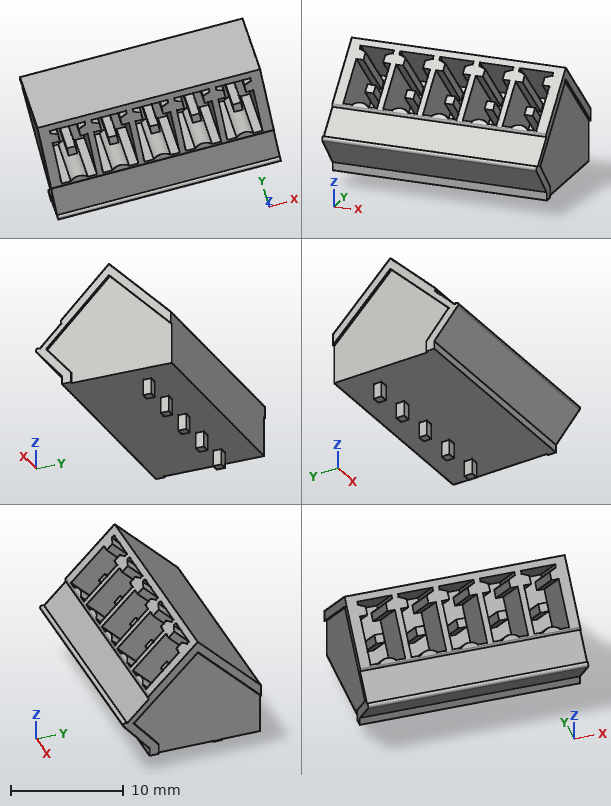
import cadquery as cq
import math


ROOT2 = math.sqrt(2)

LENGTH = 20.45
APEX_HEIGHT = 11.0
APEX_FROM_REAR = 6.0
FACE_LENGTH = 6.56
STEP = 0.22
BEAD_FROM_REAR = 12.88
FOOT_FROM_REAR = 10.59
UNDERCUT_ANGLE = math.radians(49.5)

PANEL_SINK = 0.2
FRAME = 0.8
FOOT_RIM = 0.85

CONTACTS = 5
PITCH = 3.8

POCKET_DEPTH = 6.13
POCKET_TOP = 0.65
HEAD_SIDE = 0.29
NECK_TOP = 1.23
SHOULDER = 1.98
POCKET_BOTTOM = 6.42
HEAD_HALF = 1.6
NECK_HALF = 0.95
POCKET_HALF = 1.61
RIDGE_HALF = 0.78
RIDGE_HEIGHT = 0.33

PIN = 0.8
PIN_TIP_DEPTH = 1.2
PIN_DOWN_FACE = 4.13
PIN_FROM_REAR = 3.3
PIN_TAIL = 1.51

contact_places = [(i - (CONTACTS - 1) / 2) * PITCH for i in range(CONTACTS)]


def face_point(down, depth):
    """(Y, Z) of a point down the mating face from the apex and below its surface."""
    y = -APEX_FROM_REAR + (depth - down) / ROOT2
    z = APEX_HEIGHT - (depth + down) / ROOT2
    return y, z


def around(center, radius, angle):
    """(Y, Z) on a circle; angle 0 points forward and 90 degrees points up."""
    return center[0] - radius * math.cos(angle), center[1] + radius * math.sin(angle)


bead_down = (BEAD_FROM_REAR - APEX_FROM_REAR) * ROOT2 + STEP
bead_center = face_point(bead_down, STEP)
bead_end = around(bead_center, STEP, UNDERCUT_ANGLE - math.pi / 2)
undercut_slope = math.tan(UNDERCUT_ANGLE)
foot_top = bead_end[1] + (FOOT_FROM_REAR + bead_end[0]) * undercut_slope


def extrude_profile(wire, width):
    """Solid of a YZ outline, closed here, centred on X = 0."""
    return wire.close().extrude(width / 2, both=True)


def housing_block():
    """Full-width block with the stepped mating face and the bead along its front edge."""
    edge_center = face_point(FACE_LENGTH, STEP)
    profile = (
        cq.Workplane("YZ")
        .moveTo(0, 0)
        .lineTo(0, APEX_HEIGHT - APEX_FROM_REAR)
        .lineTo(-APEX_FROM_REAR, APEX_HEIGHT)
        .lineTo(*face_point(FACE_LENGTH, 0))
        .threePointArc(around(edge_center, STEP, 0), face_point(FACE_LENGTH + STEP, STEP))
        .lineTo(*face_point(bead_down - STEP, STEP))
        .threePointArc(around(bead_center, STEP, math.pi / 4), bead_end)
        .lineTo(-FOOT_FROM_REAR, foot_top)
        .lineTo(-FOOT_FROM_REAR, 0)
    )
    return extrude_profile(profile, LENGTH)


def panel_core(width):
    """Prism of the end panel outline: the housing outline less its rim."""
    peak = APEX_HEIGHT - FRAME * ROOT2
    foot = FOOT_FROM_REAR - FOOT_RIM
    foot_rise = foot_top + FRAME / math.cos(UNDERCUT_ANGLE) - FOOT_RIM * undercut_slope
    nose = (peak + APEX_FROM_REAR - foot_rise + foot * undercut_slope) / (1 + undercut_slope)
    outline = cq.Workplane("YZ").polyline([
        (0, 0),
        (0, peak - APEX_FROM_REAR),
        (-APEX_FROM_REAR, peak),
        (-nose, peak + APEX_FROM_REAR - nose),
        (-foot, foot_rise),
        (-foot, 0),
    ])
    return extrude_profile(outline, width)


def pocket(x):
    """Keyed pocket, sunk square to the mating face."""
    face = cq.Plane(
        origin=(x, -APEX_FROM_REAR, APEX_HEIGHT), xDir=(1, 0, 0), normal=(0, -1, 1)
    )
    return (
        cq.Workplane(face)
        .moveTo(-HEAD_HALF, -POCKET_TOP)
        .lineTo(HEAD_HALF, -POCKET_TOP)
        .lineTo(HEAD_HALF, -POCKET_TOP - HEAD_SIDE)
        .lineTo(NECK_HALF, -NECK_TOP)
        .lineTo(NECK_HALF, -SHOULDER)
        .lineTo(POCKET_HALF, -SHOULDER)
        .lineTo(POCKET_HALF, -POCKET_BOTTOM)
        .lineTo(RIDGE_HALF, -POCKET_BOTTOM)
        .threePointArc((0, RIDGE_HEIGHT - POCKET_BOTTOM), (-RIDGE_HALF, -POCKET_BOTTOM))
        .lineTo(-POCKET_HALF, -POCKET_BOTTOM)
        .lineTo(-POCKET_HALF, -SHOULDER)
        .lineTo(-NECK_HALF, -SHOULDER)
        .lineTo(-NECK_HALF, -NECK_TOP)
        .lineTo(-HEAD_HALF, -POCKET_TOP - HEAD_SIDE)
        .close()
        .extrude(-POCKET_DEPTH)
    )


def pin(x):
    """Bent pin: upper leg square to the mating face, lower leg straight down."""
    upper_edge = PIN_DOWN_FACE - PIN / 2
    lower_edge = PIN_DOWN_FACE + PIN / 2
    rear = PIN_FROM_REAR - PIN / 2
    front = PIN_FROM_REAR + PIN / 2
    upper_rise = APEX_HEIGHT - APEX_FROM_REAR - upper_edge * ROOT2
    lower_rise = APEX_HEIGHT - APEX_FROM_REAR - lower_edge * ROOT2
    outline = cq.Workplane("YZ").polyline([
        face_point(upper_edge, PIN_TIP_DEPTH),
        face_point(lower_edge, PIN_TIP_DEPTH),
        (-front, front + lower_rise),
        (-front, -PIN_TAIL),
        (-rear, -PIN_TAIL),
        (-rear, rear + upper_rise),
    ])
    return extrude_profile(outline, PIN).translate((x, 0, 0))


pins = [pin(x) for x in contact_places]

end_recesses = panel_core(LENGTH).cut(panel_core(LENGTH - 2 * PANEL_SINK))

housing = housing_block().cut(end_recesses)
for x in contact_places:
    housing = housing.cut(pocket(x))
for seated_pin in pins:
    housing = housing.cut(seated_pin)

result = cq.Compound.makeCompound([housing.val(), *[p.val() for p in pins]])